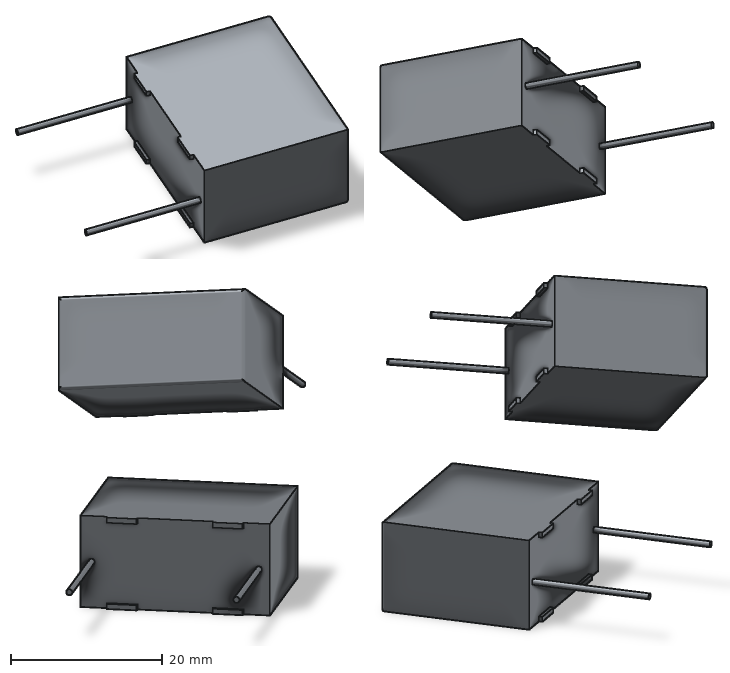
import cadquery as cq

total_length = 37.5
case_width = 25.5
case_depth = 21.0
case_height = 12.52
back_edge_radius = 0.5

foot_spacing = 14.25
foot_base_width = 4.2
foot_tip_width = 3.98
foot_thickness = 0.7
foot_length = 0.5

lead_spacing = 22.5
lead_diameter = 0.82
lead_length = total_length - case_depth


def make_case_block():
    """Case with its lead face on Y = 0 and rounded edges around the back face."""
    block = cq.Workplane("XY").box(case_width, case_depth, case_height)
    block = block.translate((0, case_depth / 2, 0))
    return block.faces(">Y").edges().fillet(back_edge_radius)


def make_foot(x_center, z_bottom):
    """Foot that narrows from the lead face to its tip."""
    outline = [
        (x_center - foot_base_width / 2, 0),
        (x_center - foot_tip_width / 2, -foot_length),
        (x_center + foot_tip_width / 2, -foot_length),
        (x_center + foot_base_width / 2, 0),
    ]
    foot = cq.Workplane("XY").workplane(offset=z_bottom)
    return foot.polyline(outline).close().extrude(foot_thickness)


def make_case():
    """Case block with four feet, flush with its upper and lower faces."""
    case = make_case_block()
    lower_z = -case_height / 2
    upper_z = case_height / 2 - foot_thickness
    for x_center in (-foot_spacing / 2, foot_spacing / 2):
        for z_bottom in (lower_z, upper_z):
            case = case.union(make_foot(x_center, z_bottom))
    return case


def make_lead(x_center):
    """Round straight lead that starts on the lead face and runs towards -Y."""
    lead = cq.Workplane("XZ").center(x_center, 0)
    return lead.circle(lead_diameter / 2).extrude(lead_length)


case = make_case()
leads = [make_lead(x_center) for x_center in (-lead_spacing / 2, lead_spacing / 2)]

result = cq.Compound.makeCompound([case.val(), *[lead.val() for lead in leads]])